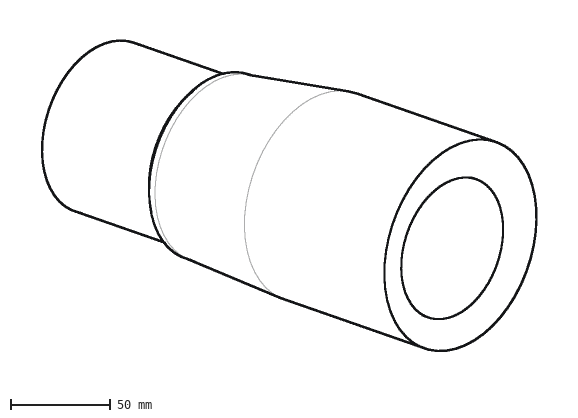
import cadquery as cq

total_length = 244.0
large_diameter = 110.0
small_diameter = 90.0
collar_diameter = 98.0
bore_diameter = 73.7

small_pipe_end = 75.0
collar_start = 79.0
collar_end = 83.2
cone_end = 146.0

small_axis_y = -(large_diameter - collar_diameter) / 2


def disc(x, y, diameter):
    """Circular wire facing +X, centred at (x, y, 0)."""
    return cq.Wire.makeCircle(diameter / 2, cq.Vector(x, y, 0), cq.Vector(1, 0, 0))


def section(start_x, start_y, start_diameter, end_x, end_y, end_diameter):
    """Straight, conical or eccentric length of pipe between two circles."""
    start = disc(start_x, start_y, start_diameter)
    end = disc(end_x, end_y, end_diameter)
    return cq.Workplane(cq.Solid.makeLoft([start, end], True))


small_pipe = section(0, small_axis_y, small_diameter, small_pipe_end, small_axis_y, small_diameter)
shoulder = section(
    small_pipe_end, small_axis_y, small_diameter, collar_start, small_axis_y, collar_diameter
)
collar = section(
    collar_start, small_axis_y, collar_diameter, collar_end, small_axis_y, collar_diameter
)
cone = section(collar_end, small_axis_y, collar_diameter, cone_end, 0, large_diameter)
large_pipe = section(cone_end, 0, large_diameter, total_length, 0, large_diameter)

bore = section(0, small_axis_y, bore_diameter, total_length, small_axis_y, bore_diameter)

body = small_pipe.union(shoulder).union(collar).union(cone).union(large_pipe)
result = body.cut(bore)